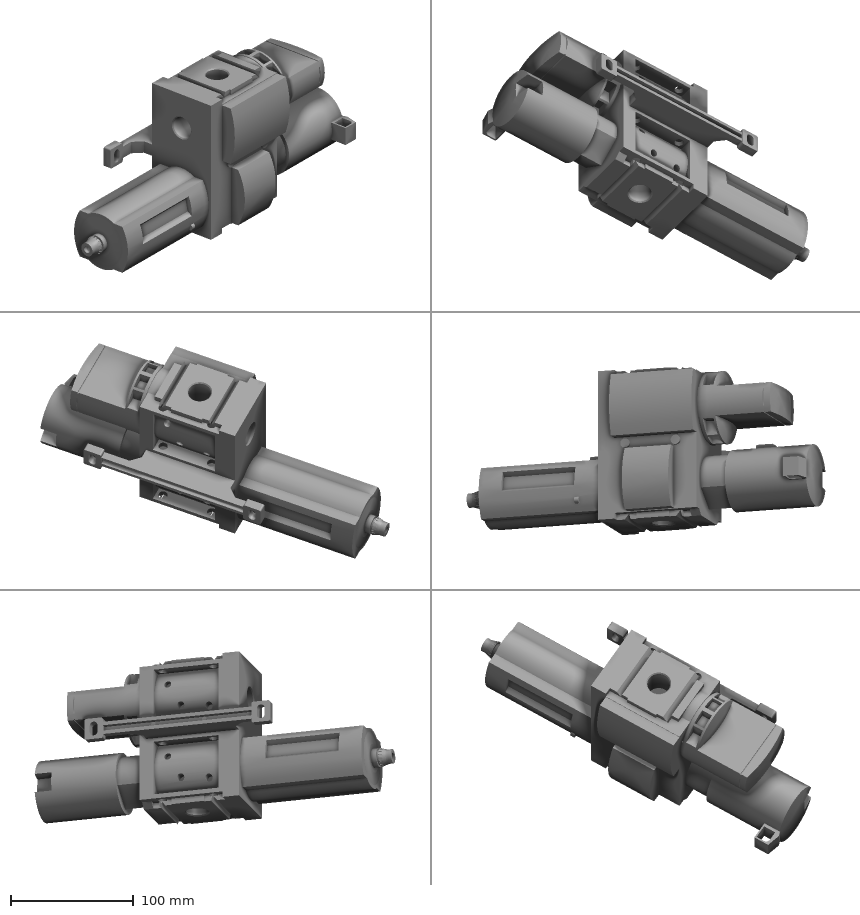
import cadquery as cq
import math


STACK_HEIGHT = 124.0
MODULE_SIZE = STACK_HEIGHT / 2
HALF = MODULE_SIZE / 2
BACK_Y = 39.5
FRONT_Y = -45.5
SHOULDER = 26.3
FLANGE_Y = 31.5
PAD_HALF_X = 24.8
PAD_HALF_Y = 19.5
KEYWAY_TOP = 5.0
KEYWAY_STEEP_RUN = 1.2
BACK_PAD_HALF_X = 19.5
RIB_HALF_Y = 14.0
RIB_WIDTH = 1.5
PORT_DIAMETER = 18.7
PORT_CHAMFER = 1.0
PORT_DEPTH = 24

RECESS_HALF_Y = 27.8
RECESS_HALF_Z = 22.5
RECESS_DEPTH = 12
CORE_RADIUS = 28.0
CORE_HOLE_DIAMETER = 6
CORE_HOLE_DEPTH = 9
LEDGE_HOLE_DIAMETER = 7.5
LEDGE_HOLE_DEPTH = 4.5
LEDGE_HOLE_X = -24
LEDGE_HOLE_Y = 21.7
CORE_HOLES = [(17.2, 10.5), (5.7, -8.8), (-18, -11.2)]

COVER_HALF_Z = 25.7
UPPER_COVER_EDGE_X = 40.0
UPPER_COVER_CROWN_X = 44.52
LOWER_COVER_EDGE_X = 38.5
LOWER_COVER_CROWN_X = 45.73
LOWER_COVER_HALF_Y = 20.0

HEAD_DIAMETER = 60.0
HEAD_RADIUS = HEAD_DIAMETER / 2
COLLAR_Y = 54.3
COLLAR_CROWN = 4.5
COIL_THICKNESS = 24.8
COIL_END_Y = 105.7
COIL_CROWN = 3.3
COIL_GROOVE_Y = 96.0
COIL_GROOVE_WIDTH = 1.0
COIL_GROOVE_DEPTH = 1.0
WINDOW_START_Y = 43.2
WINDOW_LENGTH = 9.5
INNER_WINDOW_START_X = 1.8
INNER_WINDOW_END_X = 14.0
INNER_WINDOW_FLOOR = 21
OUTER_WINDOW_START_X = 15.7
OUTER_WINDOW_FLOOR = 14.0
COLLAR_GAP = 1.0
COLLAR_GAP_DEPTH = 1.0

KNOB_DIAMETER = 51.0
KNOB_RADIUS = KNOB_DIAMETER / 2
KNOB_START_Y = 62.0
KNOB_EDGE_Y = 131.5
KNOB_END_Y = 134.3
NECK_RADIUS = 22.0
NECK_FLAT_HEIGHT = -7.8
LOCK_WIDTH = 15.7
LOCK_START_Y = 117.0
LOCK_SLOT_DEPTH = 15
LOCK_END_X = 39.8
LOCK_END_Y = 130.5
LOCK_WALL = 2.7
LOCK_CORNER_RADIUS = 3.5

BOWL_END_Y = -149.5
BOWL_LENGTH = FRONT_Y - BOWL_END_Y
BOWL_RADIUS = 25.0
BOWL_FLAT = 21.28
BOWL_CORNER_X = 22.3
BOWL_SIDE_X = 28.5
SIGHT_START_Y = -129.8
SIGHT_LENGTH = 62.8
SIGHT_FLOOR_TOP_X = 21.7
SIGHT_FLOOR_BOTTOM_X = 23.8
SIGHT_TOP = 22.5
SIGHT_FLOOR_TOP = 12.5
SIGHT_FLOOR_BOTTOM = 1.8
SIGHT_BOTTOM = -2.5
LATCH_RADIUS = 2.7
LATCH_LENGTH = 3.5
LATCH_Y = -63.5
LATCH_X = 26.3
LATCH_HEIGHT = -12

DRAIN_BASE_RADIUS = 22.0
DRAIN_BASE_END_RADIUS = 11.8
DRAIN_BASE_Y = BOWL_END_Y - 1.5
DRAIN_RADIUS = 7.8
DRAIN_GROOVE_RADIUS = 6.0
DRAIN_COLLAR_Y = -155.5
DRAIN_NUT_Y = -157.3
DRAIN_NUT_END_Y = -163
DRAIN_LIP_Y = -164.5
DRAIN_LIP_RADIUS = 5.9
DRAIN_END_Y = -167.5
DRAIN_BORE_DIAMETER = 6
DRAIN_BORE_DEPTH = 9
KNURL_COUNT = 16
KNURL_SIZE = 1.0

BRACKET_THICKNESS = 10.5
BRACKET_OUTER_X = -53.58
BRACKET_STRIP_X = -47.0
BRACKET_BEVEL = 7.5
BRACKET_BACK_Y = 33.8
GROOVE_WIDTH = 4.5
GROOVE_DEPTH = 4.5
EAR_OUTER_X = -54.5
EAR_INNER_Y = 63.7
EAR_OUTER_Y = 79.5
EAR_LENGTH = EAR_OUTER_Y - EAR_INNER_Y
EAR_HEIGHT = 17.8
EAR_CORNER_RADIUS = 1.5
EAR_SLOT_LENGTH = 11.8
EAR_SLOT_WIDTH = 6.5

SCREW_SPACING = 43.5
SCREW_DIAMETER = 4.0
SCREW_TIP_X = BRACKET_OUTER_X + GROOVE_DEPTH - 1.0
SCREW_HEAD_DIAMETER = 7.8
SCREW_HEAD_HEIGHT = 2.0


def block(x_start, x_end, y_start, y_end, z_start, z_end):
    """Box between two corners."""
    size = (x_end - x_start, y_end - y_start, z_end - z_start)
    return cq.Workplane("XY").box(*size, centered=False).translate((x_start, y_start, z_start))


def rod_y(radius, y_start, y_end):
    """Round rod on the Y axis."""
    return cq.Workplane("XZ", origin=(0, y_end, 0)).circle(radius).extrude(y_end - y_start)


def rod_x(diameter, x_start, x_end, y, z=0):
    """Round rod along X."""
    return cq.Workplane("YZ", origin=(x_start, y, z)).circle(diameter / 2).extrude(x_end - x_start)


def domed_rod(radius, y_start, y_edge, y_crown):
    """Rod on the Y axis whose +Y end is a shallow dome."""
    rise = y_crown - y_edge
    dome_radius = (radius ** 2 + rise ** 2) / (2 * rise)
    mid_radius = radius / 2
    mid_y = y_crown - dome_radius + math.sqrt(dome_radius ** 2 - mid_radius ** 2)
    return (
        cq.Workplane("XY").moveTo(0, y_start).lineTo(radius, y_start).lineTo(radius, y_edge)
        .threePointArc((mid_radius, mid_y), (0, y_crown)).close()
        .revolve(360, (0, 0, 0), (0, 1, 0))
    )


def port_cutter():
    """Port bore along -Z with its mouth chamfer, starting at Z = 0."""
    radius = PORT_DIAMETER / 2
    bore = cq.Workplane("XY").circle(radius).extrude(-PORT_DEPTH)
    mouth = (
        cq.Workplane("XZ").moveTo(0, 0).lineTo(radius + PORT_CHAMFER, 0)
        .lineTo(radius, -PORT_CHAMFER).lineTo(0, -PORT_CHAMFER).close()
        .revolve(360, (0, 0, 0), (0, 1, 0))
    )
    return bore.union(mouth)


def housing_blank():
    """Module block on the Y axis: dovetail pad and port on +Z, cored recess on -X."""
    body = block(-HALF, HALF, FRONT_Y, BACK_Y, -HALF, SHOULDER)
    body = body.union(block(-HALF, HALF, FRONT_Y, -FLANGE_Y, SHOULDER, HALF))
    body = body.union(block(-PAD_HALF_X, PAD_HALF_X, -FLANGE_Y, FLANGE_Y, SHOULDER, HALF))
    rib_x = PAD_HALF_X + RIB_WIDTH
    body = body.union(block(-rib_x, rib_x, -RIB_HALF_Y, RIB_HALF_Y, SHOULDER, HALF))

    keyway_outer = PAD_HALF_Y + KEYWAY_TOP
    for side in (-1, 1):
        inner, outer = sorted((side * BACK_PAD_HALF_X, side * HALF))
        body = body.cut(block(inner, outer, keyway_outer, FLANGE_Y, SHOULDER, HALF))

    for rear_y in (keyway_outer, -PAD_HALF_Y):
        keyway = (
            cq.Workplane("YZ", origin=(-PAD_HALF_X, 0, 0))
            .polyline([(rear_y, HALF), (rear_y - KEYWAY_TOP, HALF), (rear_y - KEYWAY_STEEP_RUN, SHOULDER)])
            .close().extrude(2 * PAD_HALF_X)
        )
        body = body.cut(keyway)

    recess = block(-HALF, RECESS_DEPTH - HALF, -RECESS_HALF_Y, RECESS_HALF_Y, -RECESS_HALF_Z, RECESS_HALF_Z)
    recess = recess.cut(rod_y(CORE_RADIUS, -RECESS_HALF_Y, RECESS_HALF_Y))
    body = body.cut(recess).cut(port_cutter().translate((0, 0, HALF)))

    ledge_hole = cq.Workplane("XY").circle(LEDGE_HOLE_DIAMETER / 2).extrude(LEDGE_HOLE_DEPTH)
    for y in (-LEDGE_HOLE_Y, LEDGE_HOLE_Y):
        for z in (RECESS_HALF_Z, -RECESS_HALF_Z - LEDGE_HOLE_DEPTH):
            body = body.cut(ledge_hole.translate((LEDGE_HOLE_X, y, z)))
    return body


def drill_core(body):
    """Three blind holes in the recess core."""
    for y, z in CORE_HOLES:
        body = body.cut(rod_x(CORE_HOLE_DIAMETER, -HALF, CORE_HOLE_DEPTH - CORE_RADIUS, y, z))
    return body


def cover(edge_x, crown_x, y_start, y_end):
    """Cover on the +X face with an arched outer side."""
    return (
        cq.Workplane("XZ", origin=(0, y_end, 0))
        .moveTo(HALF, -COVER_HALF_Z).lineTo(edge_x, -COVER_HALF_Z)
        .threePointArc((crown_x, 0), (edge_x, COVER_HALF_Z))
        .lineTo(HALF, COVER_HALF_Z).close().extrude(y_end - y_start)
    )


def solenoid_head():
    """Windowed collar with a flat-sided coil passing through it."""
    collar = domed_rod(HEAD_RADIUS, FLANGE_Y, COLLAR_Y, COLLAR_Y + COLLAR_CROWN)
    gap = rod_y(HEAD_RADIUS, BACK_Y, BACK_Y + COLLAR_GAP)
    collar = collar.cut(gap.cut(rod_y(HEAD_RADIUS - COLLAR_GAP_DEPTH, BACK_Y, BACK_Y + COLLAR_GAP)))
    window_end = WINDOW_START_Y + WINDOW_LENGTH
    inner_window = block(
        INNER_WINDOW_START_X, INNER_WINDOW_END_X, WINDOW_START_Y, window_end,
        INNER_WINDOW_FLOOR, HEAD_RADIUS,
    )
    outer_window = block(
        OUTER_WINDOW_START_X, HEAD_RADIUS, WINDOW_START_Y, window_end,
        OUTER_WINDOW_FLOOR, HEAD_RADIUS,
    )
    quarter = inner_window.union(outer_window)
    half = quarter.union(quarter.mirror("YZ"))
    collar = collar.cut(half).cut(half.mirror("XY"))

    coil = domed_rod(HEAD_RADIUS, FLANGE_Y, COIL_END_Y - COIL_CROWN, COIL_END_Y)
    half_coil = COIL_THICKNESS / 2
    coil = coil.intersect(block(-HEAD_RADIUS, HEAD_RADIUS, FLANGE_Y, COIL_END_Y, -half_coil, half_coil))
    groove_end = COIL_GROOVE_Y + COIL_GROOVE_WIDTH
    groove_x = HEAD_RADIUS - COIL_GROOVE_DEPTH
    groove_z = half_coil - COIL_GROOVE_DEPTH
    band = block(-HEAD_RADIUS, HEAD_RADIUS, COIL_GROOVE_Y, groove_end, -half_coil, half_coil)
    band = band.cut(block(-groove_x, groove_x, COIL_GROOVE_Y, groove_end, -groove_z, groove_z))
    return collar.union(coil.cut(band))


def regulator_knob():
    """Neck with slanted lower flats, and a domed knob with a padlock eye and an opposite slot."""
    neck = rod_y(NECK_RADIUS, BACK_Y, KNOB_START_Y)
    flat_x = math.sqrt(NECK_RADIUS ** 2 - NECK_FLAT_HEIGHT ** 2)
    for side in (-1, 1):
        corner = (
            cq.Workplane("XZ", origin=(0, KNOB_START_Y, 0))
            .polyline([(0, -NECK_RADIUS), (side * flat_x, NECK_FLAT_HEIGHT),
                       (side * HALF, NECK_FLAT_HEIGHT), (side * HALF, -HALF), (0, -HALF)])
            .close().extrude(KNOB_START_Y - BACK_Y)
        )
        neck = neck.cut(corner)

    knob = domed_rod(KNOB_RADIUS, KNOB_START_Y, KNOB_EDGE_Y, KNOB_END_Y)
    half_lock = LOCK_WIDTH / 2
    knob = knob.cut(block(-KNOB_RADIUS, LOCK_SLOT_DEPTH - KNOB_RADIUS, LOCK_START_Y, KNOB_END_Y, -half_lock, half_lock))
    eye = (
        cq.Workplane("XY", origin=(0, 0, -half_lock))
        .moveTo(KNOB_RADIUS - LOCK_WALL, LOCK_START_Y).lineTo(LOCK_END_X, LOCK_START_Y)
        .lineTo(LOCK_END_X, LOCK_END_Y).lineTo(KNOB_RADIUS + LOCK_WALL, KNOB_END_Y - LOCK_WALL / 3)
        .lineTo(KNOB_RADIUS - LOCK_WALL, KNOB_EDGE_Y).close().extrude(LOCK_WIDTH)
    )
    opening = block(
        KNOB_RADIUS + LOCK_WALL / 2, LOCK_END_X - LOCK_WALL / 2,
        LOCK_START_Y + LOCK_WALL / 2, LOCK_END_Y - LOCK_WALL / 2, -half_lock, half_lock,
    ).edges("|Z and >X and >Y").fillet(LOCK_CORNER_RADIUS)
    return neck.union(knob).union(eye.cut(opening))


def bowl():
    """Filter bowl: flat top and bottom, bowed sides, a round barrel through it, two sight recesses."""
    body = (
        cq.Workplane("XZ", origin=(0, FRONT_Y, 0))
        .moveTo(-BOWL_CORNER_X, BOWL_FLAT).lineTo(BOWL_CORNER_X, BOWL_FLAT)
        .threePointArc((BOWL_SIDE_X, 0), (BOWL_CORNER_X, -BOWL_FLAT))
        .lineTo(-BOWL_CORNER_X, -BOWL_FLAT)
        .threePointArc((-BOWL_SIDE_X, 0), (-BOWL_CORNER_X, BOWL_FLAT))
        .close().extrude(BOWL_LENGTH)
    )
    body = body.union(rod_y(BOWL_RADIUS, BOWL_END_Y, FRONT_Y))
    for side in (-1, 1):
        sight = (
            cq.Workplane("XZ", origin=(0, SIGHT_START_Y, 0))
            .polyline([(side * HALF, SIGHT_TOP), (side * SIGHT_FLOOR_TOP_X, SIGHT_FLOOR_TOP),
                       (side * SIGHT_FLOOR_BOTTOM_X, SIGHT_FLOOR_BOTTOM), (side * HALF, SIGHT_BOTTOM)])
            .close().extrude(-SIGHT_LENGTH)
        )
        body = body.cut(sight)
    latch = rod_y(LATCH_RADIUS, LATCH_Y - LATCH_LENGTH, LATCH_Y)
    return body.union(latch.translate((LATCH_X, 0, LATCH_HEIGHT)))


def drain():
    """Turned drain with a knurled nut and a blind bore."""
    body = (
        cq.Workplane("XY")
        .polyline([
            (0, BOWL_END_Y), (DRAIN_BASE_RADIUS, BOWL_END_Y), (DRAIN_BASE_END_RADIUS, DRAIN_BASE_Y),
            (DRAIN_RADIUS, DRAIN_BASE_Y), (DRAIN_RADIUS, DRAIN_COLLAR_Y),
            (DRAIN_GROOVE_RADIUS, DRAIN_COLLAR_Y), (DRAIN_GROOVE_RADIUS, DRAIN_NUT_Y),
            (DRAIN_RADIUS, DRAIN_NUT_Y), (DRAIN_GROOVE_RADIUS, DRAIN_NUT_END_Y),
            (DRAIN_LIP_RADIUS, DRAIN_LIP_Y), (DRAIN_LIP_RADIUS, DRAIN_END_Y), (0, DRAIN_END_Y),
        ])
        .close().revolve(360, (0, 0, 0), (0, 1, 0))
    )
    notch = block(
        -KNURL_SIZE / 2, KNURL_SIZE / 2, DRAIN_NUT_END_Y, DRAIN_NUT_Y,
        DRAIN_RADIUS - KNURL_SIZE, DRAIN_RADIUS + KNURL_SIZE,
    )
    for index in range(KNURL_COUNT):
        body = body.cut(notch.rotate((0, 0, 0), (0, 1, 0), index * 360 / KNURL_COUNT))
    return body.cut(rod_y(DRAIN_BORE_DIAMETER / 2, DRAIN_END_Y, DRAIN_END_Y + DRAIN_BORE_DEPTH))


def build_valve_module():
    """Upper module: port on top and in front, solenoid head at the back."""
    body = drill_core(housing_blank())
    front_port = port_cutter().rotate((0, 0, 0), (1, 0, 0), 90).translate((0, FRONT_Y, 0))
    body = body.cut(front_port)
    body = body.union(cover(UPPER_COVER_EDGE_X, UPPER_COVER_CROWN_X, -FLANGE_Y, BACK_Y))
    return body.union(solenoid_head()).translate((0, 0, HALF))


def build_regulator_module():
    """Lower module: port underneath, bowl in front, knob at the back."""
    body = housing_blank().mirror("XY")
    body = drill_core(body)
    rear_lip = (
        cq.Workplane("XZ", origin=(0, BACK_Y, 0))
        .polyline([(-PAD_HALF_X, -SHOULDER), (PAD_HALF_X, -SHOULDER),
                   (BACK_PAD_HALF_X, -HALF), (-BACK_PAD_HALF_X, -HALF)])
        .close().extrude(BACK_Y - FLANGE_Y)
    )
    body = body.union(rear_lip)
    body = body.union(cover(LOWER_COVER_EDGE_X, LOWER_COVER_CROWN_X, -LOWER_COVER_HALF_Y, LOWER_COVER_HALF_Y))
    for attachment in (regulator_knob(), bowl(), drain()):
        body = body.union(attachment)
    return body.translate((0, 0, -HALF))


def build_bracket():
    """Grooved bracket plate with a slotted ear at each end."""
    half_thickness = BRACKET_THICKNESS / 2
    bevel_x = BRACKET_STRIP_X + BRACKET_BEVEL
    plate = (
        cq.Workplane("XY", origin=(0, 0, -half_thickness))
        .polyline([
            (BRACKET_OUTER_X, EAR_INNER_Y), (BRACKET_STRIP_X, EAR_INNER_Y),
            (BRACKET_STRIP_X, BRACKET_BACK_Y + BRACKET_BEVEL), (bevel_x, BRACKET_BACK_Y),
            (-HALF, BRACKET_BACK_Y), (-HALF, FRONT_Y), (bevel_x, FRONT_Y),
            (BRACKET_STRIP_X, FRONT_Y - BRACKET_BEVEL), (BRACKET_STRIP_X, -EAR_INNER_Y),
            (BRACKET_OUTER_X, -EAR_INNER_Y),
        ])
        .close().extrude(BRACKET_THICKNESS)
    )
    groove = block(
        BRACKET_OUTER_X, BRACKET_OUTER_X + GROOVE_DEPTH, -EAR_INNER_Y, EAR_INNER_Y,
        -GROOVE_WIDTH / 2, GROOVE_WIDTH / 2,
    )
    plate = plate.cut(groove)
    ear_center_y = (EAR_INNER_Y + EAR_OUTER_Y) / 2
    ear_thickness = BRACKET_STRIP_X - EAR_OUTER_X
    for side in (-1, 1):
        base = cq.Workplane("YZ", origin=(EAR_OUTER_X, side * ear_center_y, 0))
        ear = base.rect(EAR_LENGTH, EAR_HEIGHT).extrude(ear_thickness)
        ear = ear.edges("|X").fillet(EAR_CORNER_RADIUS)
        slot = base.slot2D(EAR_SLOT_LENGTH, EAR_SLOT_WIDTH, 90).extrude(ear_thickness)
        plate = plate.union(ear.cut(slot))
    return plate


def clamp_screw(y):
    """Long screw along X, its head resting on the +X faces of the modules."""
    shank = rod_x(SCREW_DIAMETER, SCREW_TIP_X, HALF, y)
    head = rod_x(SCREW_HEAD_DIAMETER, HALF, HALF + SCREW_HEAD_HEIGHT, y)
    return shank.union(head)


valve_module = build_valve_module()
regulator_module = build_regulator_module()
bracket = build_bracket()
clamp_screws = []
for side in (-1, 1):
    screw = clamp_screw(side * SCREW_SPACING / 2)
    valve_module = valve_module.cut(screw)
    regulator_module = regulator_module.cut(screw)
    bracket = bracket.cut(screw)
    clamp_screws.append(screw.val())

result = cq.Compound.makeCompound(
    [valve_module.val(), regulator_module.val(), bracket.val(), *clamp_screws]
)